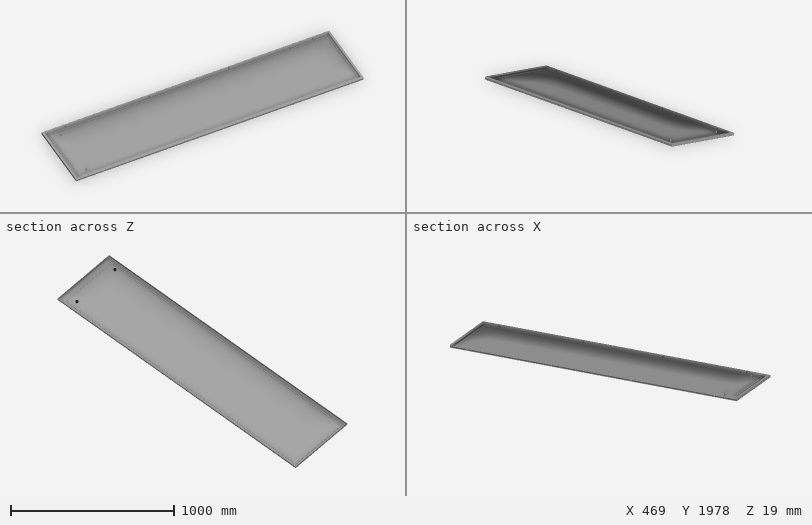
import cadquery as cq
import math

length = 1978.0
width = 469.0
height = 19.0
sheet = 1.5
bottom_bend_radius = 3.0

rail_chamfer = 5.0
rail_land = 5.0
rail_angle = 56.0
foot_width = 5.0

flange_depth = 14.0
lip_height = 5.0

bead_radius = 4.0
bead_corner_radius = 5.0
bead_x = 205.0
bead_y_back = 967.0
bead_y_front = -945.0

hole_diameter = 12.0
hole_middle_y = 18.0
hole_inner_pitch = 548.0
hole_outer_pitch = 578.0

stud_diameter = 10.0
stud_height = 15.0
stud_x = 172.0
stud_y = -888.0

half_width = width / 2
half_length = length / 2
foot_top = 2 * sheet
slope_run = (height - foot_top) / math.tan(math.radians(rail_angle))
slope_top_x = -half_width + rail_chamfer + rail_land
slope_foot_x = slope_top_x + slope_run


def make_floor():
    """Flat sheet over the whole footprint."""
    return cq.Workplane("XY").box(width, length, sheet, centered=(True, True, False))


def left_rail_outline():
    """Cross-section of the rail: upright outer side, chamfer, narrow land and sloping inner face."""
    profile = [
        (-half_width, 0),
        (-half_width, height - rail_chamfer),
        (-half_width + rail_chamfer, height),
        (slope_top_x, height),
        (slope_foot_x, foot_top),
        (slope_foot_x, 0),
    ]
    return cq.Workplane("XZ").polyline(profile).close()


def make_left_rail():
    """Hollow rail with a narrow foot along the floor."""
    tube = left_rail_outline().extrude(half_length, both=True)
    bore_outline = left_rail_outline().offset2D(-sheet, "intersection")
    bore = bore_outline.extrude(half_length - sheet, both=True)
    foot = cq.Workplane("XY").box(foot_width, length, foot_top, centered=(False, True, False))
    return tube.cut(bore).union(foot.translate((slope_foot_x, 0, 0)))


def make_back_end():
    """End plate with a flange folded inward over the floor and a lip folded down."""
    plate_profile = [
        (-half_width, 0),
        (-half_width, height - rail_chamfer),
        (-half_width + rail_chamfer, height),
        (half_width - rail_chamfer, height),
        (half_width, height - rail_chamfer),
        (half_width, 0),
    ]
    plate = (
        cq.Workplane("XZ", origin=(0, half_length, 0))
        .polyline(plate_profile)
        .close()
        .extrude(sheet)
    )
    lip_face_y = half_length - flange_depth
    lip_bottom = height - lip_height
    flange_profile = [
        (half_length, height),
        (half_length, height - sheet),
        (lip_face_y + sheet, height - sheet),
        (lip_face_y + sheet, lip_bottom),
        (lip_face_y, lip_bottom),
        (lip_face_y, height),
    ]
    flange_half_width = abs(slope_top_x)
    flange = cq.Workplane("YZ").polyline(flange_profile).close().extrude(flange_half_width, both=True)
    return plate.union(flange)


def make_bead():
    """Half-round bead running round the floor on a rounded rectangle."""
    side_length = bead_y_back - bead_y_front - 2 * bead_corner_radius
    end_length = 2 * (bead_x - bead_corner_radius)
    start_y = bead_y_front + bead_corner_radius
    r = bead_corner_radius
    path = (
        cq.Workplane("XY", origin=(-bead_x, start_y, sheet))
        .line(0, side_length)
        .tangentArcPoint((r, r))
        .line(end_length, 0)
        .tangentArcPoint((r, -r))
        .line(0, -side_length)
        .tangentArcPoint((-r, -r))
        .line(-end_length, 0)
        .tangentArcPoint((-r, r))
        .close()
    )
    section = (
        cq.Workplane("XZ", origin=(-bead_x, start_y, sheet))
        .moveTo(-bead_radius, 0)
        .threePointArc((0, bead_radius), (bead_radius, 0))
        .close()
    )
    return section.sweep(path)


def make_left_hole(y):
    """Cutter square to the left rail's sloping face, from one sheet outside it to two sheets inside."""
    slope = math.radians(rail_angle)
    outward = cq.Vector(math.sin(slope), 0, math.cos(slope))
    middle = cq.Vector((slope_top_x + slope_foot_x) / 2, y, (height + foot_top) / 2)
    start = middle + outward * sheet
    cutter = cq.Solid.makeCylinder(hole_diameter / 2, 3 * sheet, start, -outward)
    return cq.Workplane(cutter)


def make_stud(x):
    """Plain round stud standing on the floor."""
    return cq.Workplane("XY", origin=(x, stud_y, 0)).circle(stud_diameter / 2).extrude(sheet + stud_height)


inner_hole = hole_inner_pitch / 2
outer_hole = inner_hole + hole_outer_pitch
left_rail = make_left_rail()
for step in (-outer_hole, -inner_hole, inner_hole, outer_hole):
    left_rail = left_rail.cut(make_left_hole(hole_middle_y + step))
back_end = make_back_end()

result = make_floor().union(left_rail).union(left_rail.mirror("YZ"))
result = result.union(back_end).union(back_end.mirror("XZ"))
result = result.faces("<Z").edges().fillet(bottom_bend_radius)
result = result.union(make_bead())
for x in (-stud_x, stud_x):
    result = result.union(make_stud(x))